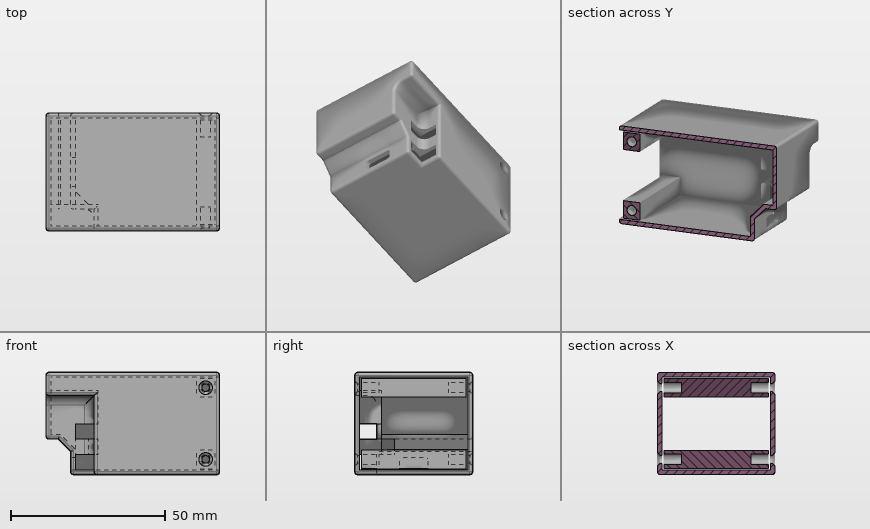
import cadquery as cq
import math

length = 56.2
width = 38.2
height = 33.2
left = -length / 2
right = length / 2
front = -width / 2
back = width / 2

wall = 1.6
edge_radius = 1.0

step_depth = 8.0
overhang_height = 11.5
slope_run = step_depth / 2
step_x = left + step_depth

notch_x = left + 15.6
notch_y = front + 7.1
notch_top = 25.7
notch_radius = 3.1
notch_end_wall = 1.25

window_height = (overhang_height - wall) / 2
lower_window_z = wall
lower_window_top = lower_window_z + window_height
upper_window_z = lower_window_top + window_height

gusset_size = 4.15

slot_width = 9.4
slot_height = 4.0
slot_radius = 1.0

screw_inset = 4.5
screw_height = 5.0
screw_diameter = 2.5
countersink_diameter = 4.4
countersink_depth = (countersink_diameter - screw_diameter) / 2
bar_clearance_z = 0.4
bar_clearance_y = 0.6
bar_hole_diameter = 3.2
bar_hole_depth = 5.6
screw_x = right - screw_inset
screw_levels = [screw_height, height - screw_height]
bar_size = 2 * (screw_height - wall - bar_clearance_z)
bar_length = width - 2 * (wall + bar_clearance_y)

overrun = 5.6


def box_between(x_range, y_range, z_range):
    """Axis-aligned box spanning three (low, high) ranges."""
    size = [high - low for low, high in (x_range, y_range, z_range)]
    return cq.Workplane("XY").box(*size, centered=False).translate((x_range[0], y_range[0], z_range[0]))


def make_notch():
    """Corner notch, rounded inside above the lower window and square below it."""
    x_range = (left - overrun, notch_x)
    y_range = (front - overrun, notch_y)
    square_part = box_between(x_range, y_range, (-overrun, lower_window_top))
    rounded_part = box_between(x_range, y_range, (lower_window_top, notch_top))
    rounded_part = rounded_part.edges(">Y and (>X or >Z)").fillet(notch_radius)
    return square_part.union(rounded_part)


def make_outer_shape():
    """Solid outside shape: stepped profile, corner notch and rounded edges."""
    profile = [
        (left, height),
        (right, height),
        (right, 0),
        (step_x, 0),
        (step_x, overhang_height - slope_run),
        (step_x - slope_run, overhang_height),
        (left, overhang_height),
    ]
    block = cq.Workplane("XZ", origin=(0, back, 0)).polyline(profile).close().extrude(width)

    block = block.cut(make_notch())

    margin = 0.05
    undercut_rim = cq.selectors.BoxSelector(
        (left - margin, notch_y - margin, -margin),
        (step_x + margin, notch_y + margin, overhang_height + margin),
    )
    rim = block.faces("<X or >X or <Y or >Y or <Z or >Z").edges()
    return rim.add(block.edges(undercut_rim)).fillet(edge_radius)


def make_cavity():
    """Interior space, one wall thickness inside the outside shape and open at the right end."""
    slope_shift = wall * math.tan(math.radians(22.5))
    inner_step_x = step_x + wall
    profile = [
        (left + wall, height - wall),
        (right + overrun, height - wall),
        (right + overrun, wall),
        (inner_step_x, wall),
        (inner_step_x, overhang_height - slope_run + slope_shift),
        (step_x - slope_run + slope_shift, overhang_height + wall),
        (left + wall, overhang_height + wall),
    ]
    inner_width = width - 2 * wall
    cavity = cq.Workplane("XZ", origin=(0, back - wall, 0)).polyline(profile).close().extrude(inner_width)

    notch_walls = box_between(
        (left, notch_x + notch_end_wall), (front, notch_y + wall), (0, notch_top + wall)
    )
    gusset = (
        cq.Workplane("XY", origin=(0, 0, lower_window_top))
        .moveTo(inner_step_x, notch_y + wall)
        .lineTo(inner_step_x + gusset_size, notch_y + wall)
        .lineTo(inner_step_x, notch_y + wall + gusset_size)
        .close()
        .extrude(window_height)
    )
    return cavity.cut(notch_walls).cut(gusset)


def make_window(base_z):
    """Opening through both notch walls."""
    return box_between(
        (step_x + wall, notch_x + notch_end_wall),
        (front + wall, notch_y + wall),
        (base_z, base_z + window_height),
    )


def make_connector_slot():
    """Rounded slot through the lower left wall, level with the floor."""
    slot = box_between(
        (step_x - wall, step_x + 2 * wall), (-slot_width / 2, slot_width / 2), (wall, wall + slot_height)
    )
    return slot.edges("|X").fillet(slot_radius)


def make_screw_hole(level):
    """Countersunk hole through the front wall."""
    outer_radius = countersink_diameter / 2
    inner_radius = screw_diameter / 2
    return (
        cq.Workplane("XY", origin=(screw_x, front, level))
        .polyline([
            (0, 0),
            (outer_radius, 0),
            (inner_radius, countersink_depth),
            (inner_radius, wall),
            (0, wall),
        ])
        .close()
        .revolve(360, (0, 0), (0, 1))
    )


def make_case():
    """Hollow case with its windows, connector slot and screw holes in front and back."""
    case = make_outer_shape().cut(make_cavity()).cut(make_connector_slot())
    for base_z in (lower_window_z, upper_window_z):
        case = case.cut(make_window(base_z))
    for level in screw_levels:
        hole = make_screw_hole(level)
        case = case.cut(hole).cut(hole.mirror("XZ"))
    return case


def make_mounting_bar(level):
    """Square bar across the open end with a blind screw hole in each end."""
    bar = cq.Workplane("XY").box(bar_size, bar_length, bar_size)
    for end in ("<Y", ">Y"):
        bar = bar.faces(end).workplane().hole(bar_hole_diameter, bar_hole_depth)
    return bar.translate((screw_x, 0, level))


case = make_case()
mounting_bars = [make_mounting_bar(level) for level in screw_levels]

result = cq.Compound.makeCompound([case.val(), *[bar.val() for bar in mounting_bars]])